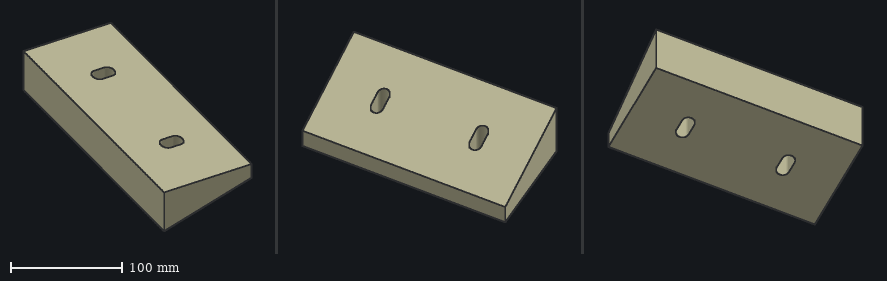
import cadquery as cq
import math

length = 206.0
depth = 100.0
back_height = 20.0
slope_angle = 20.0
front_height = back_height + depth * math.tan(math.radians(slope_angle))

slot_spacing = 100.0
slot_width = 12.0
slot_length = 24.0


def wedge():
    """Trapezoid side profile in the YZ plane, extruded along X and centred."""
    profile = [
        (-depth / 2, 0),
        (depth / 2, 0),
        (depth / 2, back_height),
        (-depth / 2, front_height),
    ]
    return cq.Workplane("YZ").polyline(profile).close().extrude(length / 2, both=True)


def slot_cutters():
    """Two round-ended slots, mirrored about the middle of the block."""
    return (
        cq.Workplane("XY")
        .pushPoints([(-slot_spacing / 2, 0), (slot_spacing / 2, 0)])
        .slot2D(slot_length, slot_width, 90)
        .extrude(front_height)
    )


result = wedge().cut(slot_cutters())